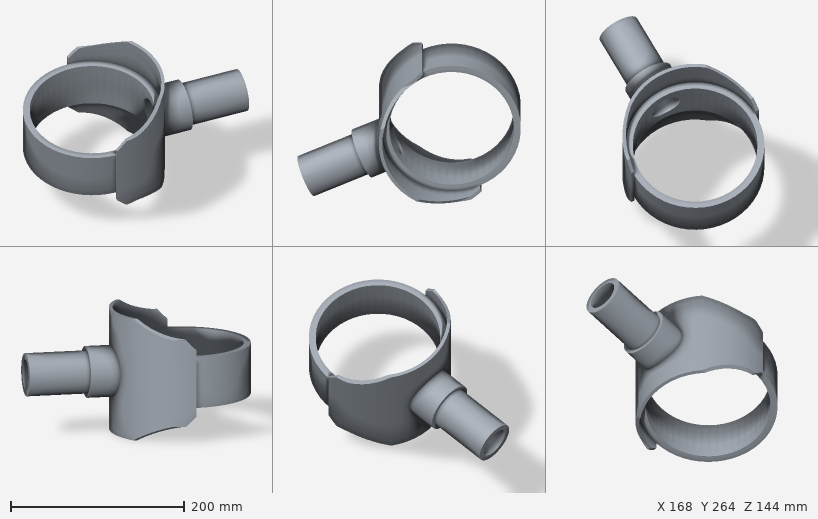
import cadquery as cq
import math

ring_inner_radius = 72.0
ring_outer_radius = 80.0
ring_height = 60.0

saddle_thickness = 4.0
saddle_outer_radius = ring_outer_radius + saddle_thickness
saddle_height = 144.0
saddle_top_half_width = 50.0
saddle_shoulder_half_height = 51.3
saddle_slope_angle = 35.0
saddle_end_chamfer = 12.0

tube_outer_diameter = 50.0
tube_bore_diameter = 36.0
tube_end_y = 184.0
sleeve_diameter = 60.0
sleeve_end_y = 113.0


def z_cylinder(radius, height):
    """Cylinder on the Z axis, centred on the XY plane."""
    return cq.Workplane("XY").workplane(offset=-height / 2).circle(radius).extrude(height)


def y_cylinder(diameter, end_y):
    """Cylinder on the Y axis, from the origin out to end_y."""
    return cq.Workplane("XZ").circle(diameter / 2).extrude(-end_y)


def saddle_face_outline():
    """Plate outline across X and Z: flat edges, slopes and straight shoulders."""
    half_height = saddle_height / 2
    slope_drop = half_height - saddle_shoulder_half_height
    slope_run = slope_drop / math.tan(math.radians(saddle_slope_angle))
    shoulder_x = saddle_top_half_width + slope_run
    quarter = [
        (saddle_outer_radius, saddle_shoulder_half_height),
        (shoulder_x, saddle_shoulder_half_height),
        (saddle_top_half_width, half_height),
    ]
    upper = quarter + [(-x, z) for x, z in reversed(quarter)]
    lower = [(x, -z) for x, z in reversed(upper)]
    outline = cq.Workplane("XZ").polyline(upper + lower).close()
    return outline.extrude(-saddle_outer_radius)


def saddle_side_outline():
    """Plate outline across Y and Z: chamfered corners at the open ends."""
    half_height = saddle_height / 2
    end_half_height = saddle_shoulder_half_height - saddle_end_chamfer
    chamfer_rise = half_height - end_half_height
    points = [
        (0, end_half_height),
        (chamfer_rise, half_height),
        (saddle_outer_radius, half_height),
        (saddle_outer_radius, -half_height),
        (chamfer_rise, -half_height),
        (0, -end_half_height),
    ]
    outline = cq.Workplane("YZ").polyline(points).close()
    return outline.extrude(saddle_outer_radius, both=True)


def make_saddle():
    plate = z_cylinder(saddle_outer_radius, saddle_height)
    plate = plate.cut(z_cylinder(ring_outer_radius, saddle_height))
    return plate.intersect(saddle_face_outline()).intersect(saddle_side_outline())


def make_stem():
    """Tube and sleeve, ending on the outside of the ring."""
    stem = y_cylinder(tube_outer_diameter, tube_end_y)
    stem = stem.union(y_cylinder(sleeve_diameter, sleeve_end_y))
    return stem.cut(z_cylinder(ring_outer_radius, saddle_height))


def make_ring():
    ring = z_cylinder(ring_outer_radius, ring_height)
    return ring.cut(z_cylinder(ring_inner_radius, ring_height))


body = make_ring().union(make_saddle()).union(make_stem())

result = body.cut(y_cylinder(tube_bore_diameter, tube_end_y))